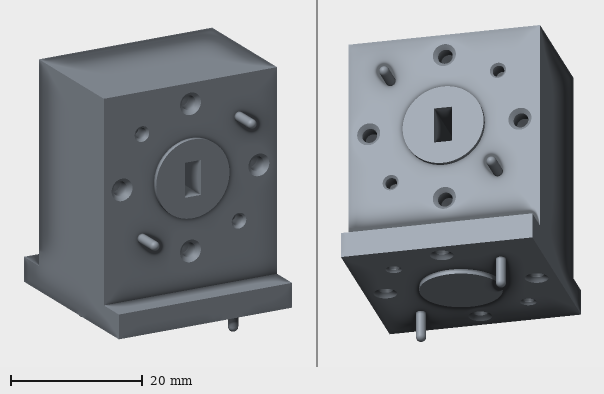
import cadquery as cq

base_side = 30.0
base_thickness = 4.0
body_width = 20.5
overall_height = 42.0
pin_reach = (base_side - body_width) / 2
body_height = overall_height - pin_reach
side_flange_z = 22.05

boss_diameter = 12.7
boss_height = 0.75
pin_diameter = 1.55
pin_offset = 8.4
screw_offset = 11.85
screw_hole_diameter = 2.3
screw_countersink_diameter = 3.6
screw_hole_depth = 2.75
screw_point_height = 0.67
dowel_hole_diameter = 1.8
dowel_countersink_diameter = 2.5
dowel_hole_depth = 2.75

channel_width = 2.77
channel_height = 5.63

pin_positions = [(-pin_offset, pin_offset), (pin_offset, -pin_offset)]
dowel_positions = [(pin_offset, pin_offset), (-pin_offset, -pin_offset)]
screw_positions = [(screw_offset, 0), (-screw_offset, 0), (0, screw_offset), (0, -screw_offset)]

left_face = cq.Plane((-body_width / 2, 0, side_flange_z), xDir=(0, -1, 0), normal=(-1, 0, 0))
right_face = cq.Plane((body_width / 2, 0, side_flange_z), xDir=(0, 0, 1), normal=(1, 0, 0))
under_face = cq.Plane((0, 0, 0), xDir=(-1, 0, 0), normal=(0, 0, -1))


def make_body():
    plate = cq.Workplane("XY").box(base_side, base_side, base_thickness, centered=(True, True, False))
    block = cq.Workplane("XY").box(body_width, base_side, body_height, centered=(True, True, False))
    return plate.union(block)


def revolve_about_z(half_outline):
    """Solid of revolution from a closed half outline in the XZ plane."""
    return half_outline.revolve(360, (0, 0), (0, 1)).val()


def make_pin():
    """Round-tipped pin rising along +Z from the origin."""
    radius = pin_diameter / 2
    shoulder = pin_reach - radius
    half_outline = cq.Workplane("XZ").lineTo(radius, 0).lineTo(radius, shoulder)
    return revolve_about_z(half_outline.radiusArc((0, pin_reach), -radius).close())


def make_hole_cutter(diameter, countersink_diameter, depth, point_height=0):
    """Cutter along -Z from the origin: 45 degree countersink, bore and optional conical drill point."""
    radius = diameter / 2
    countersink_radius = countersink_diameter / 2
    half_outline = (
        cq.Workplane("XZ")
        .lineTo(countersink_radius, 0)
        .lineTo(radius, radius - countersink_radius)
        .lineTo(radius, -depth)
        .lineTo(0, -depth - point_height)
        .close()
    )
    return revolve_about_z(half_outline)


def place_copies(shape, face, positions):
    """Copies of a shape at points of a face, with the shape's +Z along the face normal."""
    copies = cq.Workplane("XY")
    for x, y in positions:
        copies.add(shape.moved(face.location * cq.Location(cq.Vector(x, y, 0))))
    return copies.combine()


def add_flange(part, face):
    """Raised boss, two pins on one diagonal, two dowel holes on the other and four screw holes."""
    screw_hole = make_hole_cutter(
        screw_hole_diameter, screw_countersink_diameter, screw_hole_depth, screw_point_height)
    dowel_hole = make_hole_cutter(dowel_hole_diameter, dowel_countersink_diameter, dowel_hole_depth)
    boss = cq.Workplane(face).circle(boss_diameter / 2).extrude(boss_height)
    return (
        part.cut(place_copies(screw_hole, face, screw_positions))
        .cut(place_copies(dowel_hole, face, dowel_positions))
        .union(boss)
        .union(place_copies(make_pin(), face, pin_positions))
    )


part = make_body()
for flange_face in (left_face, right_face, under_face):
    part = add_flange(part, flange_face)

channel = cq.Workplane("XY").box(base_side, channel_width, channel_height)
result = part.cut(channel.translate((0, 0, side_flange_z)))